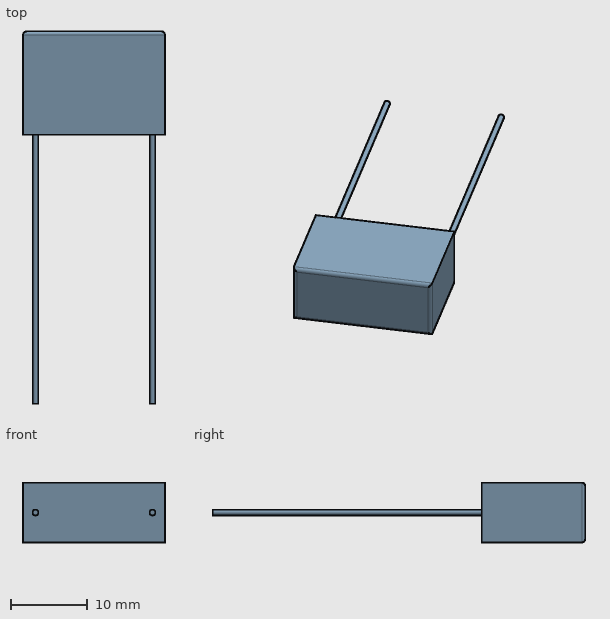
import cadquery as cq

TOTAL_LENGTH = 48.5
HOUSING_WIDTH = 18.5
HOUSING_LENGTH = 13.5
HOUSING_HEIGHT = 7.8
EDGE_RADIUS = 0.5
LEAD_DIAMETER = 0.8
LEAD_SPACING = 15.25

LEAD_LENGTH = TOTAL_LENGTH - HOUSING_LENGTH


def make_housing():
    """Capacitor box: the lead face lies on Y = 0 and the rounded closed end faces +Y."""
    box = cq.Workplane("XY").box(
        HOUSING_WIDTH, HOUSING_LENGTH, HOUSING_HEIGHT, centered=(True, False, True)
    )
    return box.faces(">Y").edges().fillet(EDGE_RADIUS)


def make_lead(x_position):
    """Straight round wire that starts on the lead face and runs toward -Y."""
    return (
        cq.Workplane("XZ")
        .center(x_position, 0)
        .circle(LEAD_DIAMETER / 2)
        .extrude(LEAD_LENGTH)
    )


housing = make_housing()
leads = [make_lead(side * LEAD_SPACING / 2) for side in (-1, 1)]

result = cq.Compound.makeCompound([housing.val(), *[lead.val() for lead in leads]])